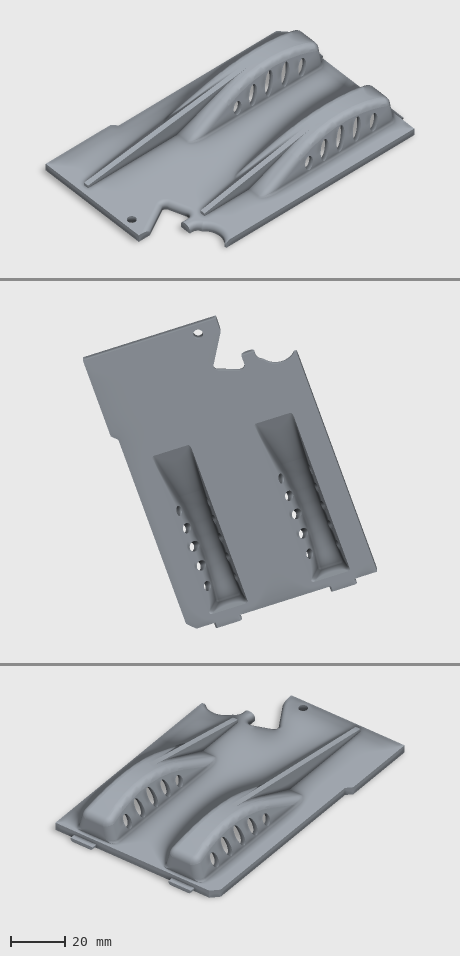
import cadquery as cq
import math

plate_width = 75.8
plate_top = 3.3
back_edge_y = 114.7
overall_length = 116.9
tolerance = 0.01
overshoot = 1.2

side_step = 2.2
step_start_y = 31.9
back_chamfer = 3.0
foot_right_x = 51.9

notch_start_y = 5.5
notch_slope = 60.0
notch_roof_slope = 19.5
notch_roof_y = 23.3
notch_corner_radius = 1.6
notch_roof_radius = 2.1
post_left_x = 56.0
post_right_x = 61.0
post_end_y = 17.1
small_arc_radius = 3.0
small_arc_center_y = 18.4
small_arc_sweep = 73.0
bay_apex = (69.2, 24.4)
bay_end = (74.8, 22.0)
edge_round = 2.1

hole_diameter = 3.6
hole_center = (43.7, 3.7)
tab_height = 1.5
tab_chamfer = 0.7
tab_spans = ((12.0, 22.3), (57.0, 67.1))

pod_centers = (19.2, 59.0)
pod_width = 17.4
pod_draft = 15.0
pod_top = 16.5
pod_back_y = 113.0
pod_crest_y = 89.8
pod_arc_radius = 60.0
pod_tail_slope = 23.5
pod_round = 3.0
pod_foot_round = 1.0
pod_wall = 2.0

vent_half_lengths = (3.5, 4.8, 5.0, 4.2, 2.7)
vent_half_width = 1.9
vent_lean = 19.0
vent_span = 32.0
first_vent_y = 102.8
vent_bottom = 4.1

fin_width = 2.2
fin_end_top = 4.6
fin_front_ys = (2.9, 25.1)


def make_plate():
    outline = [
        (0, 0),
        (foot_right_x, 0),
        (plate_width, 0),
        (plate_width, back_edge_y),
        (side_step + back_chamfer, back_edge_y),
        (side_step, back_edge_y - back_chamfer),
        (side_step, step_start_y + side_step),
        (0, step_start_y),
    ]
    return cq.Workplane("XY").polyline(outline).close().extrude(plate_top)


def make_notch():
    """Solid to remove from the plate's corner; its wall follows the notch edge."""
    roof_rise = math.tan(math.radians(notch_roof_slope))
    side_rise = math.tan(math.radians(notch_slope))
    roof_y_above_start = notch_roof_y - roof_rise * (post_left_x - foot_right_x)
    reach = (roof_y_above_start - notch_start_y) / (side_rise + roof_rise)
    corner = (foot_right_x - reach, notch_start_y + reach * side_rise)
    roof_end = (post_left_x, notch_roof_y)

    small_center_x = post_right_x + small_arc_radius

    def small_arc_point(degrees):
        angle = math.radians(180 - degrees)
        return (
            small_center_x + small_arc_radius * math.cos(angle),
            small_arc_center_y + small_arc_radius * math.sin(angle),
        )

    below = -overshoot
    beyond = plate_width + overshoot
    notch = (
        cq.Workplane("XY")
        .moveTo(foot_right_x, below)
        .lineTo(foot_right_x, notch_start_y)
        .lineTo(*corner)
        .lineTo(*roof_end)
        .lineTo(post_left_x, post_end_y)
        .lineTo(post_right_x, post_end_y)
        .lineTo(post_right_x, small_arc_center_y)
        .threePointArc(small_arc_point(small_arc_sweep / 2), small_arc_point(small_arc_sweep))
        .threePointArc(bay_apex, bay_end)
        .lineTo(beyond, bay_end[1])
        .lineTo(beyond, below)
        .close()
        .extrude(plate_top)
    )
    for (x, y), radius in ((corner, notch_corner_radius), (roof_end, notch_roof_radius)):
        upright = cq.selectors.NearestToPointSelector((x, y, plate_top / 2))
        notch = notch.edges(upright).fillet(radius)
    return notch


def is_rounded_notch_edge(edge):
    """Top edges along the notch, apart from the flat end of the post."""
    middle = edge.Center()
    on_top = abs(middle.z - plate_top) < tolerance
    inside_plate = tolerance < middle.x < plate_width - tolerance
    along_notch = notch_start_y < middle.y < bay_apex[1]
    on_post_end = abs(middle.y - post_end_y) < tolerance
    return on_top and inside_plate and along_notch and not on_post_end


def make_tab(left, right):
    tab = cq.Workplane("XY").box(right - left, overall_length - back_edge_y, tab_height, centered=False)
    tab = tab.translate((left, back_edge_y, 0))
    return tab.edges("|Y and <Z").chamfer(tab_chamfer)


def crown_height(y, inset=0.0):
    """Height of a pod's arched top at `y`, with the arc moved inward by `inset`."""
    radius = pod_arc_radius - inset
    return pod_top - pod_arc_radius + math.sqrt(radius**2 - (y - pod_crest_y) ** 2)


def make_pod(center_x, inset, base_z):
    """Arched, drafted body; `inset` moves every outer face inward."""
    radius = pod_arc_radius - inset
    back_y = pod_back_y - inset
    slope = math.radians(pod_tail_slope)
    back_z = crown_height(back_y, inset)
    tangent_y = pod_crest_y - radius * math.sin(slope)
    tangent_z = crown_height(tangent_y, inset)
    tail_y = tangent_y - (tangent_z - base_z) / math.tan(slope)
    profile = (
        cq.Workplane("YZ")
        .moveTo(tail_y, base_z)
        .lineTo(tangent_y, tangent_z)
        .threePointArc((pod_crest_y, pod_top - inset), (back_y, back_z))
        .lineTo(back_y, base_z)
        .close()
        .extrude(pod_width, both=True)
    )
    lean = math.tan(math.radians(pod_draft))
    side_inset = inset / math.cos(math.radians(pod_draft))
    low_half = pod_width / 2 - side_inset - lean * (base_z - plate_top)
    high_half = pod_width / 2 - side_inset - lean * (pod_top - plate_top)
    section = (
        cq.Workplane("XZ")
        .polyline([(-low_half, base_z), (low_half, base_z), (high_half, pod_top), (-high_half, pod_top)])
        .close()
        .extrude(-overall_length)
    )
    pod = profile.intersect(section)
    upper_edges = [edge for edge in pod.edges().vals() if edge.Center().z > base_z + tolerance]
    pod = pod.newObject(upper_edges).fillet(pod_round - inset)
    return pod.translate((center_x, 0, 0))


def make_vents(center_x):
    lean = math.radians(vent_lean)
    pitch = vent_span / (len(vent_half_lengths) - 1)
    vents = cq.Workplane("XY")
    for index, half_length in enumerate(vent_half_lengths):
        half_height = math.hypot(half_length * math.cos(lean), vent_half_width * math.sin(lean))
        vent = (
            cq.Workplane("YZ")
            .center(first_vent_y - index * pitch, vent_bottom + half_height)
            .ellipse(half_length, vent_half_width, rotation_angle=90 - vent_lean)
            .extrude(pod_width, both=True)
        )
        vents = vents.add(vent)
    return vents.combine().translate((center_x, 0, 0))


def make_fin(center_x, front_y):
    """Upright fin whose sloping top is tangent to the pod's arched crown."""
    run = pod_crest_y - front_y
    rise = fin_end_top - (pod_top - pod_arc_radius)
    elevation = math.atan2(rise, run) + math.acos(pod_arc_radius / math.hypot(run, rise))
    back_y = pod_crest_y - pod_arc_radius * math.cos(elevation)
    back_top = crown_height(back_y)
    return (
        cq.Workplane("YZ", origin=(center_x, 0, 0))
        .polyline([(front_y, 0), (front_y, fin_end_top), (back_y, back_top), (back_y, 0)])
        .close()
        .extrude(fin_width / 2, both=True)
    )


def is_foot_edge(edge):
    """Edges where a pod meets the plate, apart from its straight back."""
    middle = edge.Center()
    pod_distance = min(abs(middle.x - center_x) for center_x in pod_centers)
    along_pod = pod_crest_y - pod_arc_radius < middle.y < pod_back_y - tolerance
    across_pod = pod_distance < pod_width / 2 + tolerance
    return abs(middle.z - plate_top) < tolerance and across_pod and along_pod


def fillet_edges(body, is_wanted, radius):
    return body.newObject([edge for edge in body.edges().vals() if is_wanted(edge)]).fillet(radius)


def make_foot_trim(center_x):
    """Material outside the foot at its back: a flat back with two rounded corners."""
    foot_spread = pod_foot_round * math.tan(math.radians(90 - pod_draft) / 2)
    foot_width = pod_width + 2 * foot_spread
    start_y = pod_back_y - pod_round
    length = back_edge_y - start_y
    around = cq.Workplane("XY").rect(2 * foot_width, length).extrude(pod_top)
    around = around.translate((0, start_y + length / 2, 0))
    foot = cq.Workplane("XY").rect(foot_width, 2 * pod_round).extrude(pod_top)
    foot = foot.edges("|Z and >Y").fillet(pod_round).translate((0, start_y, 0))
    return around.cut(foot).translate((center_x, 0, plate_top))


plate = fillet_edges(make_plate().cut(make_notch()), is_rounded_notch_edge, edge_round)
plate = plate.cut(cq.Workplane("XY").center(*hole_center).circle(hole_diameter / 2).extrude(plate_top))

result = plate
for left, right in tab_spans:
    result = result.union(make_tab(left, right))
for center_x in pod_centers:
    result = result.union(make_pod(center_x, 0, plate_top))
result = fillet_edges(result, is_foot_edge, pod_foot_round)
for center_x in pod_centers:
    result = result.cut(make_foot_trim(center_x))
for center_x, front_y in zip(pod_centers, fin_front_ys):
    result = result.union(make_fin(center_x, front_y))

for center_x in pod_centers:
    result = result.cut(make_pod(center_x, pod_wall, 0))
    result = result.cut(make_vents(center_x))
result = result.solids()